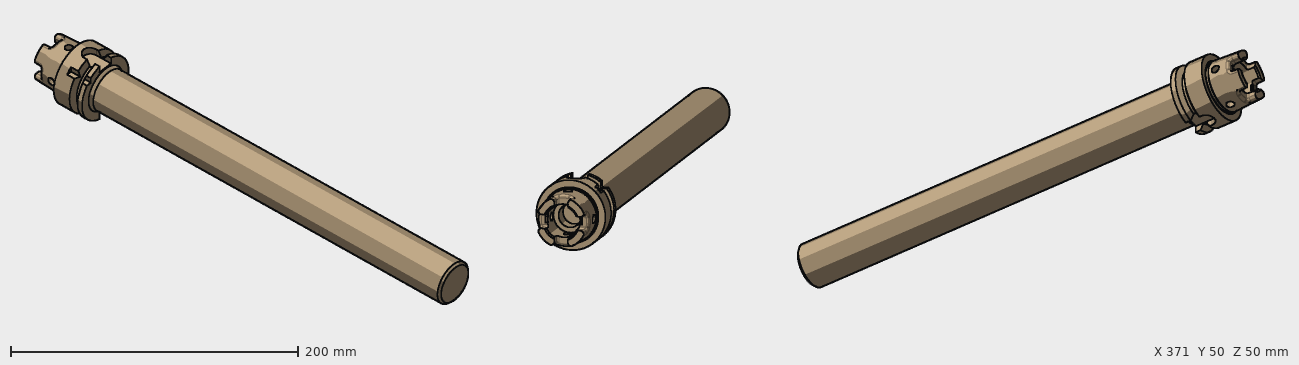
import cadquery as cq
import math

total_length = 371
taper_end = 23.0
flange_start = 25.0
groove_center = 43.0
flange_end = 51.0
neck_end = 53.8

shank_radius = 33.0 / 2
taper_front_radius = 18.0
taper_rear_radius = 19.3
flange_radius = 50.0 / 2
end_chamfer = 2.0
neck_step = 1.5

relief_depth = 0.7
relief_start = taper_end + relief_depth
relief_end = flange_start + relief_depth
relief_inner_radius = taper_rear_radius - relief_depth
relief_outer_radius = taper_rear_radius + relief_depth

groove_radius = 20.5
groove_floor_width = 2.2
groove_mouth_width = 7.5

bore_radius = 12.0
mouth_chamfer = 1.0
bore_depth = 22.3
pilot_radius = 8.0
pilot_depth = 33.5

slot_width = 10.0
slot_depth = 6.5
slot_corner_radius = 1.5
slot_rim_radius = 2.2
slot_rim_margin = 0.5

recess_width = 4.5
recess_depth = 1.5
recess_reach = 13.5

cross_hole_radius = 3.0
cross_hole_x = 17.5

keyway_width = 12.2
keyway_floor_radius = 19.0
keyway_start = 31.0

notch_root_radius = 22.0
notch_start = 32.5
notch_angle = 45
notch_overcut = 0.7


def about_axis(shape, angle):
    """Turn a shape about the X axis, from +Z towards -Y."""
    return shape.rotate((0, 0, 0), (1, 0, 0), angle)


def turned_body():
    """Nose, taper, flange and shank, revolved about the X axis."""
    half_floor = groove_floor_width / 2
    half_mouth = groove_mouth_width / 2
    return (
        cq.Workplane("XY")
        .lineTo(0, taper_front_radius)
        .lineTo(taper_end, taper_rear_radius)
        .lineTo(relief_start, relief_inner_radius)
        .lineTo(relief_end, relief_inner_radius)
        .lineTo(relief_end, taper_rear_radius)
        .lineTo(flange_start, relief_outer_radius)
        .lineTo(flange_start, flange_radius)
        .lineTo(groove_center - half_mouth, flange_radius)
        .lineTo(groove_center - half_floor, groove_radius)
        .lineTo(groove_center + half_floor, groove_radius)
        .lineTo(groove_center + half_mouth, flange_radius)
        .lineTo(flange_end, flange_radius)
        .lineTo(flange_end, shank_radius + neck_step)
        .lineTo(neck_end, shank_radius)
        .lineTo(total_length - end_chamfer, shank_radius)
        .lineTo(total_length, shank_radius - end_chamfer)
        .lineTo(total_length, 0)
        .close()
        .revolve(360, (0, 0, 0), (1, 0, 0))
    )


def round_slot_rims(body):
    """Round the edges where the drive slots break through the taper surface."""
    rims = []
    for edge in body.edges().vals():
        middle = edge.Center()
        behind_nose_face = slot_rim_margin < middle.x < slot_depth + slot_rim_margin
        near_taper_surface = math.hypot(middle.y, middle.z) > taper_front_radius - slot_rim_margin
        if behind_nose_face and near_taper_surface:
            rims.append(edge)
    return body.newObject(rims).fillet(slot_rim_radius)


def nose_cavity():
    """Stepped blind bore entering from the nose end."""
    return (
        cq.Workplane("XY")
        .lineTo(0, bore_radius + mouth_chamfer)
        .lineTo(mouth_chamfer, bore_radius)
        .lineTo(bore_depth, bore_radius)
        .lineTo(bore_depth, pilot_radius)
        .lineTo(pilot_depth, pilot_radius)
        .lineTo(pilot_depth, 0)
        .close()
        .revolve(360, (0, 0, 0), (1, 0, 0))
    )


def drive_slot():
    """Slot on the +Z side of the nose, open at the nose face, with rounded floor corners."""
    return (
        cq.Workplane("XY")
        .box(slot_depth, slot_width, flange_radius, centered=(False, True, False))
        .edges("|Z and >X")
        .fillet(slot_corner_radius)
    )


def floor_recesses():
    """Bar along Y whose ends sink a shallow recess into the +Y and -Y slot floors."""
    return cq.Workplane("XY").box(
        slot_depth + recess_depth, 2 * recess_reach, recess_width, centered=(False, True, True)
    )


def cross_hole():
    """Radial hole along Z through both walls of the taper."""
    return cq.Workplane("XY").center(cross_hole_x, 0).circle(cross_hole_radius).extrude(flange_radius, both=True)


def keyway():
    """Round-ended flat slot in the +Z side of the flange, open at its rear face."""
    end_radius = keyway_width / 2
    return (
        cq.Workplane("XY")
        .workplane(offset=keyway_floor_radius)
        .moveTo(flange_end, -end_radius)
        .lineTo(keyway_start + end_radius, -end_radius)
        .threePointArc((keyway_start, 0), (keyway_start + end_radius, end_radius))
        .lineTo(flange_end, end_radius)
        .close()
        .extrude(flange_radius)
    )


def orientation_notch():
    """90 degree V notch between the +Z and -Y sides, open at the rear face of the flange."""
    height = flange_radius - notch_root_radius + notch_overcut
    notch = (
        cq.Workplane("YZ")
        .workplane(offset=notch_start)
        .moveTo(0, notch_root_radius)
        .lineTo(height, notch_root_radius + height)
        .lineTo(-height, notch_root_radius + height)
        .close()
        .extrude(flange_end - notch_start)
    )
    return about_axis(notch, notch_angle)


result = turned_body()

for quarter in range(4):
    result = result.cut(about_axis(drive_slot(), 90 * quarter))

result = round_slot_rims(result)
result = result.cut(nose_cavity()).cut(floor_recesses())

for angle in (0, 90):
    result = result.cut(about_axis(cross_hole(), angle))

for angle in (0, 180):
    result = result.cut(about_axis(keyway(), angle))

result = result.cut(orientation_notch())